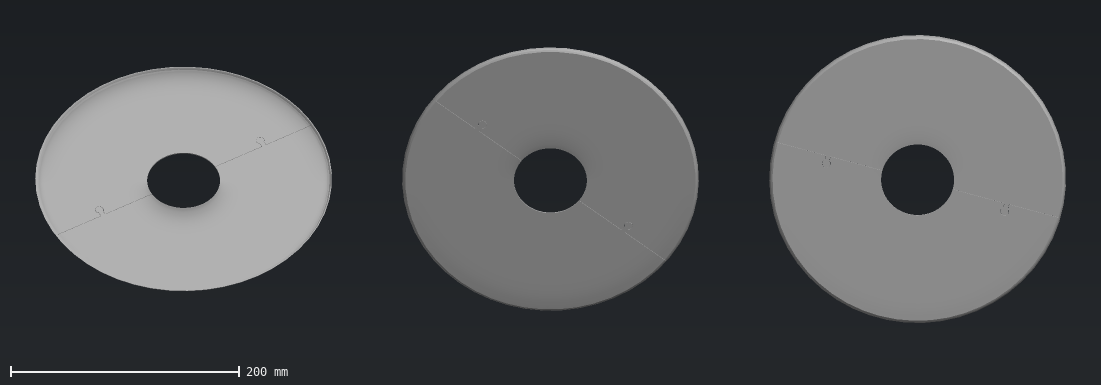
import cadquery as cq

outer_radius = 130.0
height = 3.0
hole_radius = 32.0

floor_thickness = 1.0
floor_radius = 126.4
inner_bend_radius = 128.0
inner_bend_height = 1.5
lip_width = 0.8
base_radius = 127.1
outer_bend_radius = 128.7
outer_bend_height = 1.0

slit_width = 0.3
slit_end_radius = inner_bend_radius
knob_offset = 7.0
knob_distance = 81.0
knob_radius = 3.6
neck_width = 4.2


def make_dish():
    """Revolve the rim section, leaving the centre hole open."""
    section = [
        (hole_radius, 0),
        (base_radius, 0),
        (outer_bend_radius, outer_bend_height),
        (outer_radius, height),
        (outer_radius - lip_width, height),
        (inner_bend_radius, inner_bend_height),
        (floor_radius, floor_thickness),
        (hole_radius, floor_thickness),
    ]
    return cq.Workplane("XZ").polyline(section).close().revolve(360, (0, 0), (0, 1))


def make_key(margin):
    """Round knob and neck reaching left from the slit, grown by a margin."""
    neck = (
        cq.Workplane("XY")
        .center(-knob_offset / 2, knob_distance)
        .rect(knob_offset + 2 * margin, neck_width + 2 * margin)
        .extrude(height)
    )
    knob = (
        cq.Workplane("XY")
        .center(-knob_offset, knob_distance)
        .circle(knob_radius + margin)
        .extrude(height)
    )
    return knob.union(neck)


def make_slit():
    """Straight slit that runs around the outline of the key."""
    slit_length = slit_end_radius - hole_radius / 2
    straight = (
        cq.Workplane("XY")
        .center(0, slit_end_radius - slit_length / 2)
        .rect(slit_width, slit_length)
        .extrude(height)
    )
    tab_root = (
        cq.Workplane("XY")
        .center(0, knob_distance)
        .rect(2 * slit_width, neck_width - slit_width)
        .extrude(height)
    )
    socket = make_key(slit_width / 2)
    tab = make_key(-slit_width / 2).union(tab_root)
    return straight.union(socket).cut(tab)


slit = make_slit()
result = make_dish().cut(slit).cut(slit.mirror("XZ"))